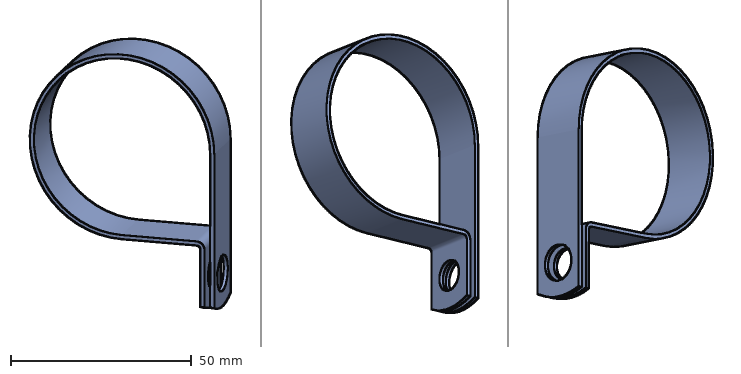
import cadquery as cq
import math

loop_radius = 26.6
thickness = 1.2
strip_width = 15.9
total_height = 72.6
leg_gap = 1.6
bend_radius = 1.1
short_leg_hole_diameter = 8.7
long_leg_hole_diameter = 10.15
hole_to_tip = 9.6
tip_radius = 18.9

inner_radius = loop_radius - thickness
bottom_z = loop_radius - total_height
short_leg_outer_x = inner_radius - leg_gap
short_leg_inner_x = short_leg_outer_x - thickness
bend_outer_radius = bend_radius + thickness
bend_x = short_leg_inner_x - bend_radius
bend_z = -loop_radius - bend_radius
diagonal = math.sqrt(0.5)


def bent_strip():
    """Constant-thickness strip: long leg, three-quarter loop, bend and short leg."""
    return (
        cq.Workplane("XZ")
        .moveTo(loop_radius, bottom_z)
        .lineTo(loop_radius, 0)
        .threePointArc((-loop_radius * diagonal, loop_radius * diagonal), (0, -loop_radius))
        .lineTo(bend_x, -loop_radius)
        .threePointArc(
            (bend_x + bend_radius * diagonal, bend_z + bend_radius * diagonal),
            (short_leg_inner_x, bend_z),
        )
        .lineTo(short_leg_inner_x, bottom_z)
        .lineTo(short_leg_outer_x, bottom_z)
        .lineTo(short_leg_outer_x, bend_z)
        .threePointArc(
            (bend_x + bend_outer_radius * diagonal, bend_z + bend_outer_radius * diagonal),
            (bend_x, -inner_radius),
        )
        .lineTo(0, -inner_radius)
        .threePointArc((-inner_radius * diagonal, inner_radius * diagonal), (inner_radius, 0))
        .lineTo(inner_radius, bottom_z)
        .close()
        .extrude(strip_width / 2, both=True)
    )


def tip_envelope():
    """Block over the whole strip whose lower face is arched to round the leg tips."""
    half_width = strip_width / 2
    tip_rise = tip_radius - math.sqrt(tip_radius**2 - half_width**2)
    return (
        cq.Workplane("YZ")
        .moveTo(-half_width, bottom_z + tip_rise)
        .threePointArc((0, bottom_z), (half_width, bottom_z + tip_rise))
        .lineTo(half_width, loop_radius)
        .lineTo(-half_width, loop_radius)
        .close()
        .extrude(loop_radius, both=True)
    )


def leg_hole(diameter, inner_x):
    """Cylinder along X through the leg whose loop-side face is at inner_x."""
    return (
        cq.Workplane("YZ", origin=(inner_x, 0, bottom_z + hole_to_tip))
        .circle(diameter / 2)
        .extrude(thickness)
    )


result = (
    bent_strip()
    .intersect(tip_envelope())
    .cut(leg_hole(short_leg_hole_diameter, short_leg_inner_x))
    .cut(leg_hole(long_leg_hole_diameter, inner_radius))
)